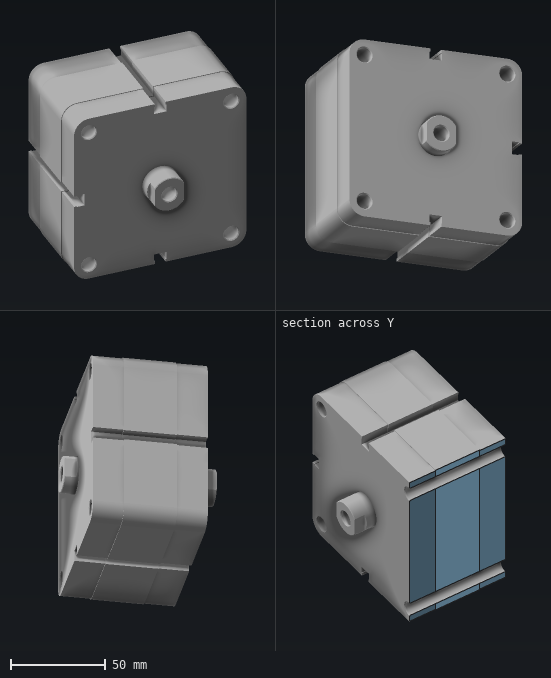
import cadquery as cq
import math

ROD_LENGTH = 82.5
HOUSING_LENGTH = 62.0
COVER_LENGTH = 16.7
LEFT_OVERHANG = 7.7

BARREL_WIDTH = 100.0
COVER_INSET = 0.4
CORNER_RADIUS = 9.0

SLOT_MOUTH_WIDTH = 5.5
SLOT_INNER_WIDTH = 6.4
SLOT_LIP = 2.5
SLOT_DEPTH = 6.0
SLOT_ANGLES = (0, 90, 180)

BOLT_HOLE_DIAMETER = 8.3
BOLT_HOLE_CHAMFER = 0.5
BOLT_SPACING = 2 * (BARREL_WIDTH / 2 - CORNER_RADIUS)

ROD_DIAMETER = 20.0
COVER_BORE_DIAMETER = 20.8
ROD_CHAMFER = 0.4
FLAT_SPACING = 16.8
FLAT_LENGTH = 6.5
FLAT_WALL_ANGLE = 15.0
THREAD_HOLE_DIAMETER = 8.5
THREAD_MOUTH_DIAMETER = 9.5
THREAD_HOLE_DEPTH = 20.0
DRILL_TIP_ANGLE = 118.0

ROD_LEFT = -ROD_LENGTH / 2
HOUSING_LEFT = ROD_LEFT + LEFT_OVERHANG
HOUSING_RIGHT = HOUSING_LEFT + HOUSING_LENGTH
BARREL_LEFT = HOUSING_LEFT + COVER_LENGTH
BARREL_RIGHT = HOUSING_RIGHT - COVER_LENGTH


def plane_across_x(x):
    """Workplane facing +X at the given X, with local axes along Y and Z."""
    return cq.Workplane("YZ", origin=(x, 0, 0))


def slot_cutter(x, length, inset):
    """Stepped slot in the +Z side, with every wall moved outward by the inset."""
    half_mouth = SLOT_MOUTH_WIDTH / 2 + inset
    half_inner = SLOT_INNER_WIDTH / 2 + inset
    top = BARREL_WIDTH / 2
    step = top - SLOT_LIP + inset
    floor = top - SLOT_DEPTH - inset
    outline = [
        (-half_mouth, top),
        (-half_mouth, step),
        (-half_inner, step),
        (-half_inner, floor),
        (half_inner, floor),
        (half_inner, step),
        (half_mouth, step),
        (half_mouth, top),
    ]
    return plane_across_x(x).polyline(outline).close().extrude(length)


def bolt_holes(x, length, start_diameter, end_diameter):
    """Four cutters, straight or tapering towards +X, at the corner hole places."""
    outline = [(x, 0), (x, start_diameter / 2), (x + length, end_diameter / 2), (x + length, 0)]
    cutter = cq.Workplane("XY").polyline(outline).close().revolve(360, (0, 0, 0), (1, 0, 0))
    half_spacing = BOLT_SPACING / 2
    cutters = cq.Workplane("XY")
    for y in (-half_spacing, half_spacing):
        for z in (-half_spacing, half_spacing):
            cutters = cutters.add(cutter.translate((0, y, z)))
    return cutters.combine()


def housing_section(x, length, inset, bore_diameter):
    """Rounded square block with slots, corner holes and a bore for the rod."""
    width = BARREL_WIDTH - 2 * inset
    block = plane_across_x(x).rect(width, width).extrude(length)
    block = block.edges("|X").fillet(CORNER_RADIUS - inset)
    slot = slot_cutter(x, length, inset)
    for angle in SLOT_ANGLES:
        block = block.cut(slot.rotate((0, 0, 0), (1, 0, 0), angle))
    holes = bolt_holes(x, length, BOLT_HOLE_DIAMETER, BOLT_HOLE_DIAMETER)
    bore = plane_across_x(x).circle(bore_diameter / 2).extrude(length)
    return block.cut(holes).cut(bore)


def left_end_cover():
    """Cover on the -X side, with countersunk corner holes."""
    cover = housing_section(HOUSING_LEFT, COVER_LENGTH, COVER_INSET, COVER_BORE_DIAMETER)
    mouth_diameter = BOLT_HOLE_DIAMETER + 2 * BOLT_HOLE_CHAMFER
    return cover.cut(bolt_holes(HOUSING_LEFT, BOLT_HOLE_CHAMFER, mouth_diameter, BOLT_HOLE_DIAMETER))


def right_end_cover():
    """Cover on the +X side, mirroring the other one about the middle of the housing."""
    return left_end_cover().mirror("YZ", ((HOUSING_LEFT + HOUSING_RIGHT) / 2, 0, 0))


def flat_cutter():
    """Prism that cuts the -Y flat at the -X end of the rod."""
    flat_y = -FLAT_SPACING / 2
    outer_y = -ROD_DIAMETER
    flat_end = ROD_LEFT + FLAT_LENGTH
    wall_run = (flat_y - outer_y) * math.tan(math.radians(FLAT_WALL_ANGLE))
    outline = [
        (ROD_LEFT, flat_y),
        (flat_end, flat_y),
        (flat_end + wall_run, outer_y),
        (ROD_LEFT, outer_y),
    ]
    return cq.Workplane("XY").polyline(outline).close().extrude(ROD_DIAMETER / 2, both=True)


def threaded_hole_cutter():
    """Blind hole in the -X end of the rod, with a chamfered mouth and a drill-tip bottom."""
    radius = THREAD_HOLE_DIAMETER / 2
    mouth_radius = THREAD_MOUTH_DIAMETER / 2
    bottom = ROD_LEFT + THREAD_HOLE_DEPTH
    tip = bottom + radius / math.tan(math.radians(DRILL_TIP_ANGLE / 2))
    outline = [
        (ROD_LEFT, 0),
        (ROD_LEFT, mouth_radius),
        (ROD_LEFT + mouth_radius - radius, radius),
        (bottom, radius),
        (tip, 0),
    ]
    return cq.Workplane("XY").polyline(outline).close().revolve(360, (0, 0, 0), (1, 0, 0))


def piston_rod():
    """Through rod with two wrench flats and a threaded hole at each end."""
    rod = plane_across_x(ROD_LEFT).circle(ROD_DIAMETER / 2).extrude(ROD_LENGTH)
    rod = rod.faces("<X or >X").edges().chamfer(ROD_CHAMFER)
    flat = flat_cutter()
    end_cutter = flat.union(flat.mirror("XZ")).union(threaded_hole_cutter())
    return rod.cut(end_cutter).cut(end_cutter.mirror("YZ"))


barrel = housing_section(BARREL_LEFT, BARREL_RIGHT - BARREL_LEFT, 0, ROD_DIAMETER)
left_cover = left_end_cover()
right_cover = right_end_cover()
rod = piston_rod()

result = cq.Compound.makeCompound([barrel.val(), left_cover.val(), right_cover.val(), rod.val()])